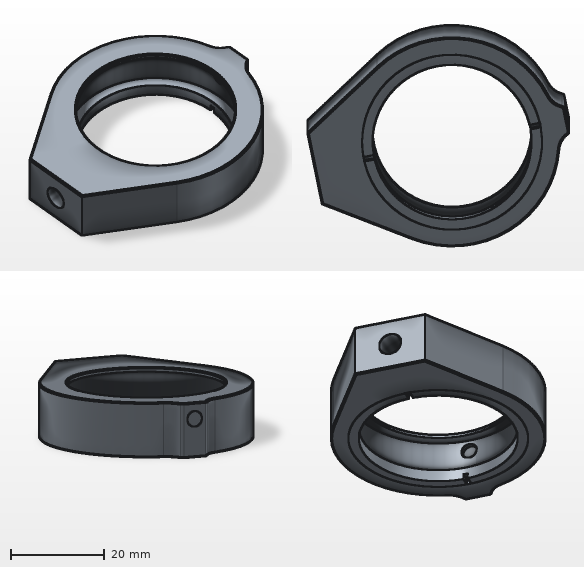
import cadquery as cq
import math

thickness = 12.0
rim_radius = 23.0
bore_axis_y = 0.0
foot_half_width = 8.0
foot_y = -30.0
edge_chamfer = 0.3
chamfer_angle = 45

tab_y = 25.0
tab_half_width = 2.75
tab_flare_radius = 4.5
tab_corner_radius = 0.7

lip_radius = 17.0
lip_thickness = 1.0
bore_radius = 19.25
pocket_height = thickness - lip_thickness

ring_height = 2.8
slot_width = 1.0
slot_depth = 1.2

mount_radius = 2.5
mount_depth = 6.6
drill_point_angle = 118.0
drill_point_length = mount_radius / math.tan(math.radians(drill_point_angle / 2))

screw_radius = 1.7
screw_z = 8.4
screw_setback = 1.0
screw_tip_y = bore_radius + screw_setback


def polar(radius, angle):
    """Point at an angle on a circle around the bore axis."""
    return (radius * math.cos(angle), radius * math.sin(angle))


def mirrored(point):
    """The same point on the other side of the YZ plane."""
    return (-point[0], point[1])


def make_plate():
    """Round rim with two flanks tangent to it, a flat foot at -Y and a flared tab at +Y."""
    foot_corner = (foot_half_width, foot_y)
    corner_angle = math.atan2(foot_y, foot_half_width)
    flank_angle = corner_angle + math.acos(rim_radius / math.hypot(*foot_corner))
    flank_end = polar(rim_radius, flank_angle)

    flare_x = tab_half_width + tab_flare_radius
    flare_angle = math.acos(flare_x / (rim_radius + tab_flare_radius))
    flare_y = (rim_radius + tab_flare_radius) * math.sin(flare_angle)
    flare_start = polar(rim_radius, flare_angle)
    flare_end_x = flare_x - math.sqrt(tab_flare_radius**2 - (flare_y - tab_y) ** 2)
    flare_end = (flare_end_x, tab_y)
    flare_mid_angle = math.radians(225)
    flare_mid = (
        flare_x + tab_flare_radius * math.cos(flare_mid_angle),
        flare_y + tab_flare_radius * math.sin(flare_mid_angle),
    )

    rim_mid = polar(rim_radius, (flank_angle + flare_angle) / 2)
    plate = (
        cq.Workplane("XY")
        .moveTo(*mirrored(foot_corner))
        .lineTo(*foot_corner)
        .lineTo(*flank_end)
        .threePointArc(rim_mid, flare_start)
        .threePointArc(flare_mid, flare_end)
        .lineTo(*mirrored(flare_end))
        .threePointArc(mirrored(flare_mid), mirrored(flare_start))
        .threePointArc(mirrored(rim_mid), mirrored(flank_end))
        .close()
        .extrude(thickness)
    )
    plate = plate.edges("|Z").edges(">Y").fillet(tab_corner_radius)
    return plate.faces("<Z or >Z").edges().chamfer(edge_chamfer)


def cylinder(radius, height):
    return cq.Workplane("XY").circle(radius).extrude(height)


def make_bore():
    """Material removed for the pocket, the opening in the lip and the chamfer around it."""
    pocket = cylinder(bore_radius, pocket_height)
    opening = cylinder(lip_radius, thickness)
    mouth = (
        cq.Workplane("XY")
        .workplane(offset=thickness - edge_chamfer)
        .circle(lip_radius)
        .extrude(edge_chamfer, taper=-chamfer_angle)
    )
    return pocket.union(opening).union(mouth)


def make_mount_hole():
    """Drilled blind hole with a conical end, entering the foot face along +Y."""
    return (
        cq.Workplane("XY")
        .moveTo(0, foot_y)
        .lineTo(mount_radius, foot_y)
        .lineTo(mount_radius, foot_y + mount_depth)
        .lineTo(0, foot_y + mount_depth + drill_point_length)
        .close()
        .revolve(360, (0, 0), (0, 1))
        .translate((0, 0, thickness / 2))
    )


def screw_bar(start_y):
    """Cylinder of the set screw's size from start_y to the tab face."""
    return (
        cq.Workplane("XZ", origin=(0, start_y, screw_z))
        .circle(screw_radius)
        .extrude(start_y - tab_y)
    )


def make_housing():
    """Plate with the bore, the mounting hole and a screw hole from the bore axis out through the tab."""
    return make_plate().cut(make_bore()).cut(make_mount_hole()).cut(screw_bar(bore_axis_y))


def make_retaining_ring():
    """Ring that fills the bottom of the pocket, with a pair of spanner slots across its lower face."""
    ring = cylinder(bore_radius, ring_height).cut(cylinder(lip_radius, ring_height))
    slots = cq.Workplane("XY").rect(slot_width, 2 * rim_radius).extrude(slot_depth)
    return ring.cut(slots)


housing = make_housing()
retaining_ring = make_retaining_ring()
set_screw = screw_bar(screw_tip_y)

result = cq.Compound.makeCompound([housing.val(), retaining_ring.val(), set_screw.val()])